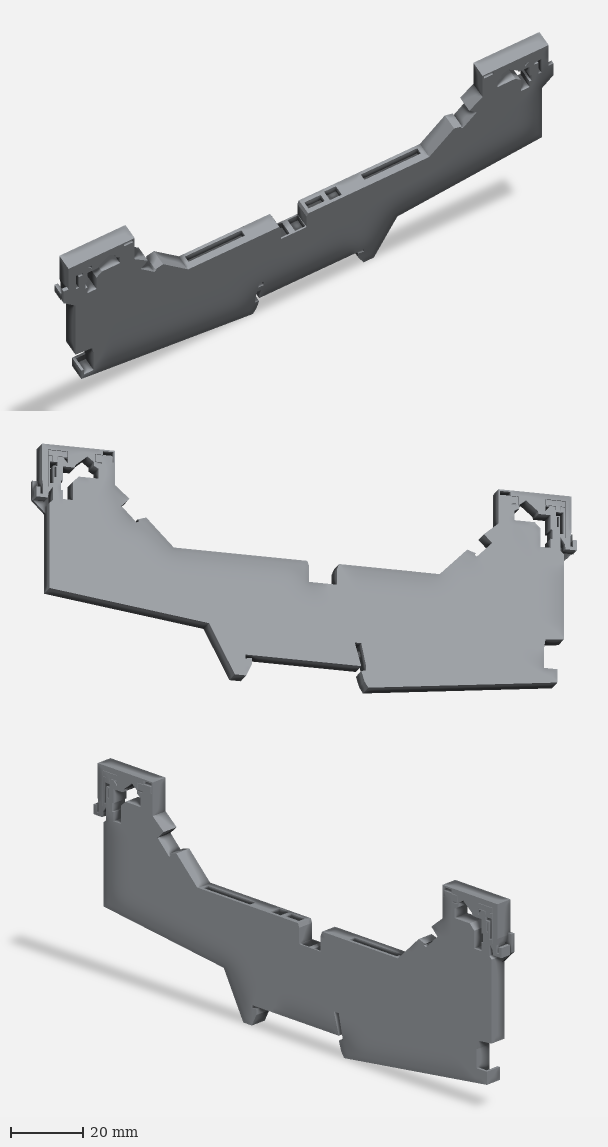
import cadquery as cq


thickness = 5.1
length = 156.0
height = 61.8

end_y = length / 2
head_y = 76.4
body_y = 74.2
neck_y = 73.3
head_inner_y = 55.4
deck_z = 35.2
underside_z = 6.1
corner_z = 19.8

back_x = 4.0
latch_width = 3.5
wall_foot_z = 49.5
latch_bottom_z = 46.2
cap_z = 60.2
bar_z = 58.5
wall_inner_y = 74.7
slit_outer_y = 74.0
slit_top_z = 56.8
post_outer_y = 73.1
post_inner_y = 71.9
post_slot_depth = 2.3
window_top_z = 61.3
window_outer_y = 58.8
window_inner_y = 55.8
seam_width = 0.2
seam_depth = 0.3
seam_outer_y = 69.0
seam_inner_y = 61.1

notch_near_y = -0.6
notch_far_y = -8.7
notch_floor_z = 29.2
pocket_depth = 2.3

slot_near_y = -15.7
slot_top_z = 12.8
web_bottom_z = 9.5
web_top_z = 11.2
end_notch_y = -68.5
toe_y = -72.4
toe_top_z = 10.9
toe_wall = 0.8
toe_pocket_depth = 2.3


def slab(points, x_start=0.0, x_end=thickness):
    """Closed outline of (y, z) points, extruded along X."""
    return cq.Workplane("YZ").workplane(offset=x_start).polyline(points).close().extrude(x_end - x_start)


def bar(y_ends, z_ends, x_start=0.0, x_end=thickness):
    """Rectangular slab between two Y and two Z limits."""
    (y_a, y_b), (z_a, z_b) = y_ends, z_ends
    return slab([(y_a, z_a), (y_b, z_a), (y_b, z_b), (y_a, z_b)], x_start, x_end)


def toe_pocket():
    """Pocket in the top of the toe, open at the rear and at the end notch wall."""
    return bar(
        (toe_y + toe_wall, end_notch_y),
        (toe_top_z - toe_pocket_depth, toe_top_z),
        toe_wall,
    )


def both_ends(solid):
    """The given +Y feature together with its mirror image at the -Y end."""
    return solid.union(solid.mirror("XZ"))


def mirrored(points):
    """The outline run on the -Y side, listed in the opposite order."""
    return [(-y, z) for y, z in reversed(points)]


def plate():
    end_run = [
        (body_y, 44.8),
        (neck_y, 45.5),
        (neck_y, wall_foot_z),
        (head_y - 0.3, wall_foot_z),
        (head_y, 51.5),
        (head_y, height),
        (head_inner_y, height),
        (head_inner_y, 51.8),
        (51.1, 48.2),
        (53.5, 45.8),
        (49.1, 41.5),
        (48.3, 42.0),
        (48.8, 42.4),
        (46.3, 43.2),
        (38.4, deck_z),
    ]
    notch = [
        (notch_near_y + 0.5, deck_z),
        (notch_near_y, deck_z - 1.2),
        (notch_near_y, notch_floor_z),
        (notch_far_y, notch_floor_z),
        (notch_far_y, deck_z - 1.5),
        (notch_far_y - 0.6, deck_z),
    ]
    end_notch = [
        (-body_y, corner_z),
        (end_notch_y - 0.5, 19.2),
        (end_notch_y, 16.5),
        (end_notch_y, toe_top_z),
        (toe_y, toe_top_z),
        (toe_y, 7.0),
    ]
    rail_slot = [
        (-17.8, 0),
        (-16.7, 1.7),
        (slot_near_y, 4.7),
        (-17.2, 5.0),
        (-17.2, underside_z),
        (-15.7, slot_top_z),
        (-13.9, slot_top_z),
        (slot_near_y, underside_z),
    ]
    rail_foot = [
        (17.6, underside_z),
        (17.6, 5.0),
        (15.7, 5.3),
        (15.7, 3.6),
        (17.5, 0),
        (20.7, 0),
        (28.2, 14.2),
        (body_y, corner_z),
    ]
    return slab(end_run + notch + mirrored(end_run) + end_notch + rail_slot + rail_foot)


def slot_web():
    """Web bridging the rail slot in the rear half of the thickness."""
    return bar((-16.4, -14.0), (web_bottom_z, web_top_z), thickness / 2)


def latch():
    """J-shaped hook in front of a back plate that is braced to the edge."""
    hook = slab([
        (head_y - 0.3, wall_foot_z),
        (head_y - 0.3, 47.1),
        (76.9, 47.1),
        (76.9, 49.1),
        (end_y, 49.1),
        (end_y, latch_bottom_z),
        (wall_inner_y, latch_bottom_z),
        (74.5, 47.5),
        (neck_y, wall_foot_z),
    ], 0, latch_width)
    back_plate = slab([
        (neck_y, 52.1),
        (end_y, 52.1),
        (end_y, 46.6),
        (body_y, 42.9),
        (neck_y, 42.9),
    ], back_x)
    return hook.union(back_plate)


def rail_opening():
    """Through opening for the bus bar, with a leg running down beside the post."""
    return slab([
        (63.3, 59.3),
        (66.7, 56.5),
        (66.9, 55.7),
        (70.3, 55.7),
        (70.3, 51.5),
        (71.0, 51.5),
        (71.0, 48.8),
        (70.3, 48.8),
        (70.3, latch_bottom_z),
        (67.5, latch_bottom_z),
        (67.5, 51.5),
        (65.8, 53.2),
        (60.0, 53.2),
        (60.0, 56.0),
        (61.5, 56.8),
        (61.5, 57.9),
    ])


def spring_cuts():
    """Hooked slit outside the spring post, with a blind slot and a corner hole beside it."""
    slit = bar((slit_outer_y, post_outer_y), (50.5, slit_top_z))
    slit_hook = bar((slit_outer_y, post_inner_y), (55.7, slit_top_z))
    post_slot = bar((72.8, 72.2), (52.4, 55.4), 0, post_slot_depth)
    corner_hole = slab([(70.2, 58.2), (seam_outer_y, 58.2), (seam_outer_y, slit_top_z)])
    return slit.union(slit_hook).union(post_slot).union(corner_hole)


def cap_cuts():
    """Window under the cap, narrow slots and the parting seams of the cap."""
    window = bar((window_outer_y, window_inner_y), (cap_z, window_top_z))
    corner_slot = bar((56.1, window_inner_y), (58.3, cap_z), 0, seam_depth)
    shoulder_slot = bar((seam_inner_y, 59.1), (57.5, 58.0), 0, seam_depth)
    seam_runs = [
        ((wall_inner_y, seam_outer_y), (cap_z - seam_width, cap_z)),
        ((wall_inner_y - seam_width, wall_inner_y), (wall_foot_z, cap_z)),
        ((seam_outer_y, seam_outer_y + seam_width), (slit_top_z, cap_z)),
        ((wall_inner_y, neck_y), (bar_z - seam_width, bar_z)),
        ((neck_y, neck_y + seam_width), (slit_top_z, bar_z)),
        ((post_inner_y, seam_outer_y), (bar_z - seam_width, bar_z)),
        ((post_inner_y - seam_width, post_inner_y), (57.4, bar_z)),
        ((seam_inner_y, window_outer_y), (cap_z - seam_width, cap_z)),
        ((seam_inner_y - seam_width, seam_inner_y), (58.0, cap_z)),
    ]
    cuts = window.union(corner_slot).union(shoulder_slot)
    for y_ends, z_ends in seam_runs:
        cuts = cuts.union(bar(y_ends, z_ends, 0, seam_depth))
    return cuts


def top_pockets():
    """Blind pockets in the deck and in the floor of the notch."""
    marker = (1.0, 3.0)
    notch_pocket = (0.5, thickness - 0.5)
    pockets = [
        (19.0, 37.0, marker, deck_z),
        (-37.0, -19.0, marker, deck_z),
        (7.3, 11.0, (1.0, 4.2), deck_z),
        (0.8, 6.0, (1.4, 3.7), deck_z),
        (-4.0, notch_near_y - 0.2, notch_pocket, notch_floor_z),
        (-8.5, -5.8, notch_pocket, notch_floor_z),
    ]
    cuts = cq.Workplane("YZ")
    for y_start, y_end, (x_start, x_end), top_z in pockets:
        cuts = cuts.union(bar((y_start, y_end), (top_z - pocket_depth, top_z), x_start, x_end))
    return cuts


result = (
    plate()
    .union(slot_web())
    .union(both_ends(latch()))
    .cut(both_ends(rail_opening()))
    .cut(both_ends(spring_cuts()))
    .cut(both_ends(cap_cuts()))
    .cut(top_pockets())
    .cut(toe_pocket())
)